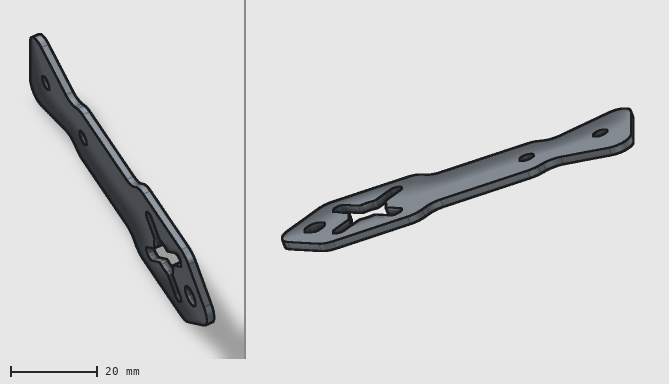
import cadquery as cq
import math

length = 85.2
thickness = 2.0
head_half = 12.5
arm_half = 8.6

tail_radius = 4.0
tail_centre_z = 7.3
tail_angle = math.radians(20)
neck_x = 19.3
neck_end_angle = math.radians(30)
blend_radius = 5.0
shoulder_x = 48.5

small_hole_diameter = 3.5
small_hole_positions = (7.5, 25.5)
nose_hole_diameter = 5.0
nose_hole_x = 77.2
cross_x = 64.3
cross_bore_radius = 4.6
cross_corner_radius = 1.0
slot_width = 3.4
slot_end_offset = 6.7


def corner_points():
    """Sharp corners of the upper half outline, from tail to nose, with fillet radii."""
    tail_line_at_zero = tail_centre_z + tail_radius * (
        1 / math.cos(tail_angle) + math.tan(tail_angle)
    )
    neck_z = tail_line_at_zero - neck_x * math.tan(tail_angle)
    arm_start_x = neck_x + (arm_half - neck_z) / math.tan(neck_end_angle)
    nose_x = length + blend_radius * (math.sqrt(2) - 1)
    upper = [
        (0, tail_line_at_zero, tail_radius),
        (neck_x, neck_z, blend_radius),
        (arm_start_x, arm_half, blend_radius),
        (shoulder_x, arm_half, blend_radius),
        (shoulder_x + head_half - arm_half, head_half, blend_radius),
        (nose_x - head_half, head_half, blend_radius),
    ]
    return upper, (nose_x, 0, blend_radius)


def make_plate():
    """Mirror-symmetric plate, centred on Y = 0, with every outline corner rounded."""
    upper, nose = corner_points()
    lower = [(x, -z, radius) for x, z, radius in reversed(upper)]
    corners = upper + [nose] + lower
    plate = (
        cq.Workplane("XZ")
        .polyline([(x, z) for x, z, _ in corners])
        .close()
        .extrude(thickness / 2, both=True)
    )
    for x, z, radius in corners:
        nearest_edge = cq.selectors.NearestToPointSelector((x, 0, z))
        plate = plate.edges("|Y").edges(nearest_edge).fillet(radius)
    return plate


def cut_round_holes(plate):
    """Two small holes on the arm and a larger one in the nose."""
    holes = [(x, small_hole_diameter) for x in small_hole_positions]
    holes.append((nose_hole_x, nose_hole_diameter))
    for x, diameter in holes:
        cutter = (
            cq.Workplane("XZ")
            .center(x, 0)
            .circle(diameter / 2)
            .extrude(thickness, both=True)
        )
        plate = plate.cut(cutter)
    return plate


def cut_cross(plate):
    """Round bore with round-ended slots along both diagonals and rounded corners between them."""
    workplane = cq.Workplane("XZ").center(cross_x, 0)
    cutter = workplane.circle(cross_bore_radius).extrude(thickness, both=True)
    slot_length = 2 * math.sqrt(2) * slot_end_offset + slot_width
    for angle in (45, -45):
        slot = workplane.slot2D(slot_length, slot_width, angle).extrude(thickness, both=True)
        cutter = cutter.union(slot)

    half_angle = math.asin(slot_width / 2 / cross_bore_radius)
    for quarter in range(4):
        diagonal = math.pi / 4 + quarter * math.pi / 2
        for angle in (diagonal - half_angle, diagonal + half_angle):
            x = cross_x + cross_bore_radius * math.cos(angle)
            z = cross_bore_radius * math.sin(angle)
            nearest_edge = cq.selectors.NearestToPointSelector((x, 0, z))
            cutter = cutter.edges("|Y").edges(nearest_edge).fillet(cross_corner_radius)
    return plate.cut(cutter)


result = cut_cross(cut_round_holes(make_plate()))